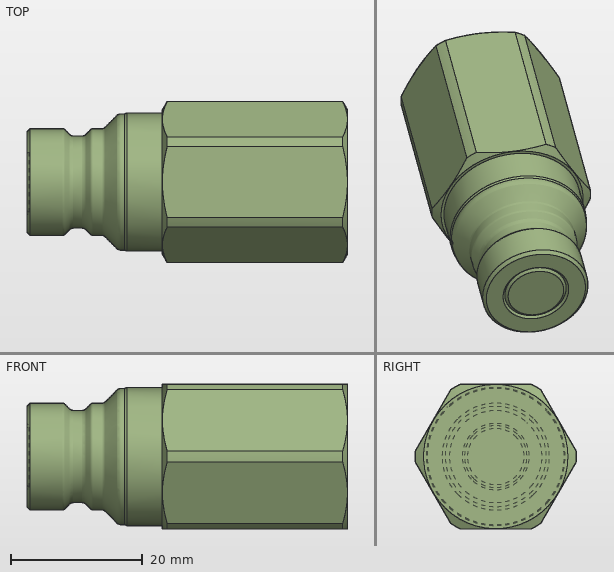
import cadquery as cq
import math

total_length = 48.65
hex_sides = 6
hex_start = 20.55
hex_across_flats = 22.0
hex_corner_diameter = 24.45
hex_face_radius = 10.95
hex_chamfer_angle = 30.0

tip_radius = 8.12
tip_chamfer = 0.5
neck_radius = 7.0
groove_start = 5.6
groove_end = 9.85
shoulder_start = 11.7
shoulder_radius = 10.35
collar_start = 15.2
collar_radius = 10.5
collar_chamfer_length = 0.35

lip_blend = 0.45
neck_blend = 0.8
shoulder_blend = 0.85

ring_outer_radius = 5.05
ring_bottom_radius = 4.7
ring_inner_radius = 4.3
ring_depth = 0.35


def revolve_about_x(profile):
    return profile.close().revolve(360, (0, 0, 0), (1, 0, 0))


def circle_edges_at(body, x, radius):
    """Edges of the turned body lying on the circle at x with the given radius."""
    tolerance = 0.005
    search_box = cq.selectors.BoxSelector(
        (x - tolerance, -radius - tolerance, -radius - tolerance),
        (x + tolerance, radius + tolerance, radius + tolerance),
        boundingbox=True,
    )
    return body.edges(search_box)


def make_plug():
    flank = tip_radius - neck_radius
    shoulder_rise = shoulder_radius - tip_radius
    profile = (
        cq.Workplane("XY")
        .moveTo(0, 0)
        .lineTo(0, tip_radius - tip_chamfer)
        .lineTo(tip_chamfer, tip_radius)
        .lineTo(groove_start, tip_radius)
        .lineTo(groove_start + flank, neck_radius)
        .lineTo(groove_end - flank, neck_radius)
        .lineTo(groove_end, tip_radius)
        .lineTo(shoulder_start, tip_radius)
        .lineTo(shoulder_start + shoulder_rise, shoulder_radius)
        .lineTo(collar_start - collar_chamfer_length, shoulder_radius)
        .lineTo(collar_start, collar_radius)
        .lineTo(hex_start, collar_radius)
        .lineTo(hex_start, 0)
    )
    plug = revolve_about_x(profile)
    blends = [
        (groove_start, tip_radius, lip_blend),
        (groove_start + flank, neck_radius, neck_blend),
        (groove_end - flank, neck_radius, neck_blend),
        (groove_end, tip_radius, lip_blend),
        (shoulder_start, tip_radius, lip_blend),
        (shoulder_start + shoulder_rise, shoulder_radius, shoulder_blend),
    ]
    for x, radius, blend in blends:
        plug = circle_edges_at(plug, x, radius).fillet(blend)
    return plug


def make_hexagon():
    across_corners = hex_across_flats / math.cos(math.pi / hex_sides)
    prism = (
        cq.Workplane("YZ", origin=(hex_start, 0, 0))
        .polygon(hex_sides, across_corners)
        .extrude(total_length - hex_start)
    )
    corner_radius = hex_corner_diameter / 2
    chamfer_length = (corner_radius - hex_face_radius) * math.tan(math.radians(hex_chamfer_angle))
    envelope = (
        cq.Workplane("XY")
        .moveTo(hex_start, 0)
        .lineTo(hex_start, hex_face_radius)
        .lineTo(hex_start + chamfer_length, corner_radius)
        .lineTo(total_length - chamfer_length, corner_radius)
        .lineTo(total_length, hex_face_radius)
        .lineTo(total_length, 0)
    )
    return prism.intersect(revolve_about_x(envelope))


def make_ring_groove():
    profile = (
        cq.Workplane("XY")
        .moveTo(0, ring_inner_radius)
        .lineTo(ring_depth, ring_bottom_radius)
        .lineTo(0, ring_outer_radius)
    )
    return revolve_about_x(profile)


result = make_plug().union(make_hexagon()).cut(make_ring_groove())